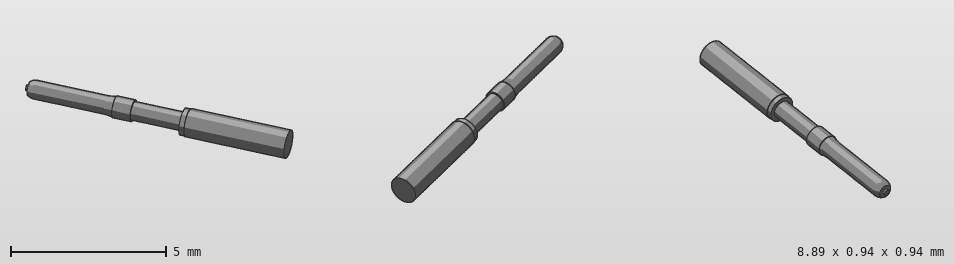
import cadquery as cq
import math

total_length = 8.89
pilot_length = 0.09
nose_end = 0.3
taper_start = 2.74
collar_start = 3.005
collar_end = 3.63
shoulder_start = 5.32
sleeve_start = 5.49

pilot_radius = 0.1
nose_face_radius = 0.23
shaft_radius = 0.31
taper_end_radius = 0.35
collar_radius = 0.365
shoulder_radius = 0.45
sleeve_radius = 0.47

nose_length = nose_end - pilot_length
nose_drop = shaft_radius - nose_face_radius
nose_arc_radius = (nose_length**2 + nose_drop**2) / (2 * nose_drop)
nose_half_angle = math.asin(nose_length / nose_arc_radius) / 2
nose_mid = (
    nose_end - nose_arc_radius * math.sin(nose_half_angle),
    shaft_radius - nose_arc_radius * (1 - math.cos(nose_half_angle)),
)

profile = (
    cq.Workplane("XY")
    .moveTo(0, 0)
    .lineTo(0, pilot_radius)
    .lineTo(pilot_length, pilot_radius)
    .lineTo(pilot_length, nose_face_radius)
    .threePointArc(nose_mid, (nose_end, shaft_radius))
    .lineTo(taper_start, shaft_radius)
    .lineTo(collar_start, taper_end_radius)
    .lineTo(collar_start, collar_radius)
    .lineTo(collar_end, collar_radius)
    .lineTo(collar_end, shaft_radius)
    .lineTo(shoulder_start, shaft_radius)
    .lineTo(shoulder_start, shoulder_radius)
    .lineTo(sleeve_start, shoulder_radius)
    .lineTo(sleeve_start, sleeve_radius)
    .lineTo(total_length, sleeve_radius)
    .lineTo(total_length, 0)
    .close()
)

result = profile.revolve(360, (0, 0, 0), (1, 0, 0))